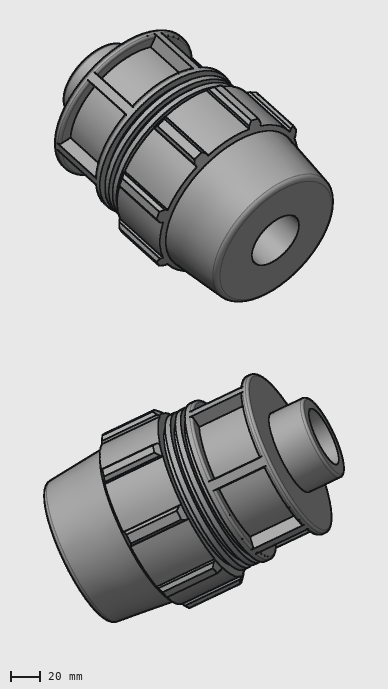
import cadquery as cq

LENGTH = 189.0
BORE_DIAMETER = 41.8

SPIGOT_RADIUS = 59.5 / 2
SPIGOT_LENGTH = 26.0
SPIGOT_FILLET = 1.9

FLANGE_RADIUS = 118.9 / 2
FLANGE_FILLET = 1.9
FRONT_FLANGE_END = 32.0
REAR_FLANGE_START = 69.2
REAR_FLANGE_END = 74.7
CORE_RADIUS = 49.5
RIB_COUNT = 6
RIB_WIDTH = 7.0

NECK_RADIUS = 105.7 / 2
NECK_OVERLAP = 1.9
COLLAR_RADIUS = 116.5 / 2
COLLAR_WIDTH = 4.2
COLLAR_STARTS = (78.6, 86.5)

NUT_START = 94.7
NUT_SHOULDER = 139.9
NUT_RADIUS = 61.0
SLEEVE_START = 141.8
SLEEVE_START_RADIUS = 57.5
SLEEVE_END_RADIUS = 52.7
SLEEVE_FILLET = 3.5

LUG_COUNT = 8
LUG_ROOT_RADIUS = 56.7
LUG_SIDE_RADIUS = 62.7
LUG_TOP_RADIUS = 65.8
LUG_BASE_WIDTH = 11.0
LUG_TOP_WIDTH = 6.8
LUG_TOP_START = 98.3
LUG_FRONT_RADIUS = 61.6
LUG_CLEARANCE = 1.0


def ring(start, end, radius):
    """Solid disc on the X axis between two stations."""
    return cq.Workplane("YZ", origin=(start, 0, 0)).circle(radius).extrude(end - start)


def around_axis(shape, count, first_angle):
    """Copies of a shape spaced evenly about the X axis, as a list."""
    step = 360.0 / count
    return [shape.rotate((0, 0, 0), (1, 0, 0), first_angle + i * step) for i in range(count)]


def make_spigot():
    return ring(0, FRONT_FLANGE_END, SPIGOT_RADIUS).faces("<X").edges().fillet(SPIGOT_FILLET)


def make_body():
    body = ring(SPIGOT_LENGTH, REAR_FLANGE_END, FLANGE_RADIUS).faces("<X").edges().fillet(FLANGE_FILLET)

    rounding_radius = FLANGE_RADIUS - FLANGE_FILLET
    recess = (
        cq.Workplane("XY")
        .moveTo(FRONT_FLANGE_END, CORE_RADIUS)
        .lineTo(FRONT_FLANGE_END, rounding_radius)
        .radiusArc((FRONT_FLANGE_END - FLANGE_FILLET, FLANGE_RADIUS), -FLANGE_FILLET)
        .lineTo(REAR_FLANGE_START + FLANGE_FILLET, FLANGE_RADIUS)
        .radiusArc((REAR_FLANGE_START, rounding_radius), -FLANGE_FILLET)
        .lineTo(REAR_FLANGE_START, CORE_RADIUS)
        .close()
        .revolve(360, (0, 0, 0), (1, 0, 0))
    )
    rib = cq.Workplane("XY").box(
        REAR_FLANGE_END, FLANGE_RADIUS + FLANGE_FILLET, RIB_WIDTH, centered=(False, False, True)
    )
    for copy in around_axis(rib, RIB_COUNT, 0):
        recess = recess.cut(copy)
    return body.cut(recess)


def make_neck():
    neck = ring(REAR_FLANGE_START, NUT_START + NECK_OVERLAP, NECK_RADIUS)
    for start in COLLAR_STARTS:
        neck = neck.union(ring(start, start + COLLAR_WIDTH, COLLAR_RADIUS))
    return neck


def make_lug_prism():
    """Full-length bar with the cross-section of one grip lug, pointing along +Y."""
    half_base = LUG_BASE_WIDTH / 2
    half_top = LUG_TOP_WIDTH / 2
    return (
        cq.Workplane("YZ")
        .polyline([
            (LUG_ROOT_RADIUS, -half_base),
            (LUG_SIDE_RADIUS, -half_base),
            (LUG_TOP_RADIUS, -half_top),
            (LUG_TOP_RADIUS, half_top),
            (LUG_SIDE_RADIUS, half_base),
            (LUG_ROOT_RADIUS, half_base),
        ])
        .close()
        .extrude(LENGTH)
    )


def make_nut():
    front_slope = (LUG_TOP_START - NUT_START) / (LUG_TOP_RADIUS - LUG_FRONT_RADIUS)
    shoulder_slope = (SLEEVE_START - NUT_SHOULDER) / (NUT_RADIUS - SLEEVE_START_RADIUS)
    blank_radius = LUG_TOP_RADIUS + LUG_CLEARANCE
    lug_start = LUG_TOP_START + LUG_CLEARANCE * front_slope
    lug_end = NUT_SHOULDER - (blank_radius - NUT_RADIUS) * shoulder_slope
    blank = (
        cq.Workplane("XY")
        .polyline([
            (NUT_START, 0),
            (NUT_START, LUG_FRONT_RADIUS),
            (lug_start, blank_radius),
            (lug_end, blank_radius),
            (SLEEVE_START, SLEEVE_START_RADIUS),
            (LENGTH, SLEEVE_END_RADIUS),
            (LENGTH, 0),
        ])
        .close()
        .revolve(360, (0, 0, 0), (1, 0, 0))
    )
    blank = blank.faces(">X").edges().fillet(SLEEVE_FILLET)

    waste = ring(0, LENGTH, blank_radius + LUG_CLEARANCE).cut(ring(0, LENGTH, NUT_RADIUS))
    for prism in around_axis(make_lug_prism(), LUG_COUNT, 180.0 / LUG_COUNT):
        waste = waste.cut(prism)
    return blank.cut(waste)


result = make_spigot().union(make_body()).union(make_neck()).union(make_nut())
result = result.cut(ring(0, LENGTH, BORE_DIAMETER / 2))